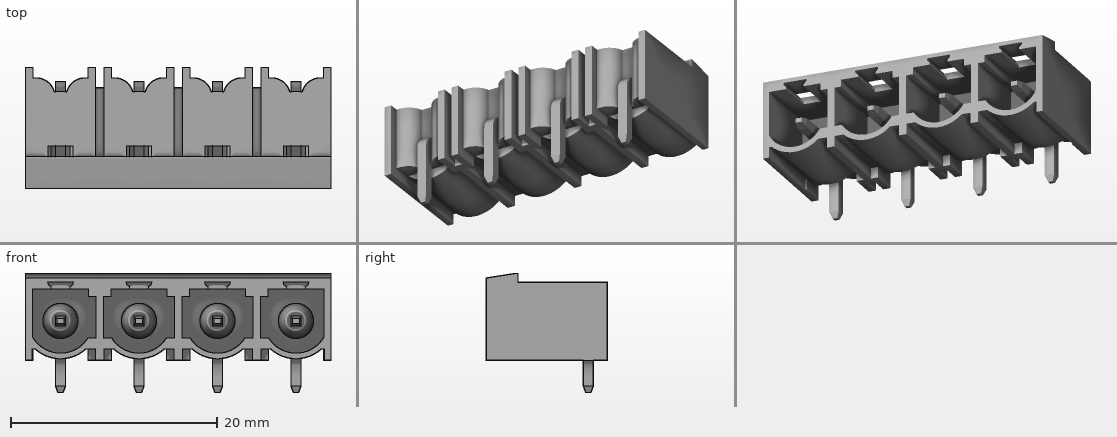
import cadquery as cq
import math


positions = 4
pitch = 7.62
housing_width = 29.66
housing_depth = 11.75
body_height = 7.6
axis_height = 3.82
half_width = housing_width / 2
centres = [(i - (positions - 1) / 2) * pitch for i in range(positions)]

ridge_length = 3.09
ridge_flat = 0.22
ridge_height = 8.45
ridge_front_height = 8.0

pocket_depth = 8.0
pocket_half_width = 2.73
pocket_top = 6.9
pocket_radius = 3.13
key_half_width = 3.44
key_top = 6.18
shelf_height = 2.145

dovetail_length = 4.14
dovetail_top_half = 1.225
dovetail_neck_half = 0.93
dovetail_shoulder = 7.4
dovetail_neck_height = 7.12

shell_length = 8.8
shell_radius = 3.68
underside_height = 1.09
end_leg_width = 0.65
middle_leg_width = 0.8

slot_width = 0.78
slot_floor = 6.9
slot_open_length = 1.95
rear_wall_thickness = 0.76
rear_recess = 1.0
scallop_radius = 1.85
notch_half_width = 0.6

boss_base_radius = 1.71
boss_radius = 1.07
boss_tip_radius = 0.87
boss_cone_length = 2.0
boss_edge_radius = boss_radius - boss_tip_radius

pin_width = 1.0
pin_tip_y = 0.88
pin_side_taper = 0.8
pin_top_taper = 1.2
pin_tip_width = 0.65
pin_tip_height = 0.45
pin_tail_y = 9.91
pin_bottom = -3.15
tail_tip_length = 0.65
tail_tip_width = 0.5
pin_bend_radius = 1.5

notch_y = pin_tail_y - pin_width / 2
rear_edge_y = housing_depth - rear_recess


def box(x0, x1, y0, y1, z0, z1):
    return cq.Workplane("XY").box(x1 - x0, y1 - y0, z1 - z0, centered=False).translate((x0, y0, z0))


def front_sketch():
    """Mating face plane; its normal points to -Y, so negative lengths extrude into the housing."""
    return cq.Workplane("XZ")


def body_block():
    """Side outline with the sloped locking ridge, as wide as the housing."""
    outline = [
        (0, 0),
        (housing_depth, 0),
        (housing_depth, body_height),
        (ridge_length, body_height),
        (ridge_length, ridge_height),
        (ridge_length - ridge_flat, ridge_height),
        (0, ridge_front_height),
    ]
    return cq.Workplane("YZ", origin=(-half_width, 0, 0)).polyline(outline).close().extrude(housing_width)


def underside_cut(x, left_end, right_end):
    """Space below one position, leaving the round pocket shell, the legs and the rear side walls."""
    left = -half_width + end_leg_width if left_end else x - (pitch - middle_leg_width) / 2
    right = half_width - end_leg_width if right_end else x + (pitch - middle_leg_width) / 2
    shell = front_sketch().center(x, axis_height).circle(shell_radius).extrude(-shell_length)
    front = box(left, right, 0, shell_length, 0, underside_height).cut(shell)
    rear_half = (pitch - slot_width) / 2 - rear_wall_thickness
    rear = box(x - rear_half, x + rear_half, shell_length, housing_depth, 0, underside_height)
    return front.union(rear)


def pocket_side(keyed):
    """Upper side points, from the top down to the start of the round floor, of one pocket half."""
    if keyed:
        floor_x = math.sqrt(pocket_radius**2 - (axis_height - shelf_height) ** 2)
        return [
            (pocket_half_width, pocket_top),
            (pocket_half_width, key_top),
            (key_half_width, key_top),
            (key_half_width, shelf_height),
            (floor_x, shelf_height),
        ]
    floor_z = axis_height - math.sqrt(pocket_radius**2 - pocket_half_width**2)
    return [(pocket_half_width, pocket_top), (pocket_half_width, floor_z)]


def pocket(x, left_keyed, right_keyed):
    """Pocket with a round floor and a widened, keyed side wherever another position adjoins."""
    right = pocket_side(right_keyed)
    left = [(-px, pz) for px, pz in reversed(pocket_side(left_keyed))]
    profile = front_sketch().center(x, 0).polyline(right)
    profile = profile.threePointArc((0, axis_height - pocket_radius), left[0])
    for point in left[1:]:
        profile = profile.lineTo(*point)
    return profile.close().extrude(-pocket_depth)


def dovetail(x):
    right = [
        (dovetail_neck_half, pocket_top),
        (dovetail_neck_half, dovetail_neck_height),
        (dovetail_top_half, dovetail_shoulder),
        (dovetail_top_half, body_height),
    ]
    left = [(-px, pz) for px, pz in reversed(right)]
    return front_sketch().center(x, 0).polyline(right + left).close().extrude(-dovetail_length)


def boss(x):
    """Cone with a rounded tip edge around the pin, standing on the pocket back wall."""
    tip = boss_cone_length + boss_edge_radius
    edge_mid = boss_edge_radius * math.sqrt(0.5)
    half_section = (
        cq.Workplane("XY")
        .lineTo(boss_base_radius, 0)
        .lineTo(boss_radius, boss_cone_length)
        .threePointArc((boss_tip_radius + edge_mid, boss_cone_length + edge_mid), (boss_tip_radius, tip))
        .lineTo(0, tip)
        .close()
    )
    turned = half_section.revolve(360, (0, 0, 0), (0, 1, 0))
    return turned.mirror("XZ").translate((x, pocket_depth, axis_height))


def rear_recess_cut(x):
    """Recess between the rear side walls, bounded by two scallops that end at the pin notch."""
    wall_x = (pitch - slot_width) / 2 - rear_wall_thickness
    sweep = math.acos(1 - (rear_edge_y - notch_y) / scallop_radius)
    arc_start_x = notch_half_width + scallop_radius * math.sin(sweep)
    mid_x = arc_start_x - scallop_radius * math.sin(sweep / 2)
    mid_y = rear_edge_y - scallop_radius * (1 - math.cos(sweep / 2))
    profile = (
        cq.Workplane("XY")
        .center(x, 0)
        .moveTo(-wall_x, housing_depth)
        .lineTo(-wall_x, rear_edge_y)
        .lineTo(-arc_start_x, rear_edge_y)
        .threePointArc((-mid_x, mid_y), (-notch_half_width, notch_y))
        .lineTo(notch_half_width, notch_y)
        .threePointArc((mid_x, mid_y), (arc_start_x, rear_edge_y))
        .lineTo(wall_x, rear_edge_y)
        .lineTo(wall_x, housing_depth)
        .close()
    )
    return profile.extrude(body_height)


def divider_slot(x):
    """Slot between two positions: shallow over the divider, open to the board side at the rear."""
    left = x - slot_width / 2
    right = x + slot_width / 2
    shallow = box(left, right, ridge_length, housing_depth, slot_floor, body_height)
    return shallow.union(box(left, right, housing_depth - slot_open_length, housing_depth, 0, body_height))


def contact_outline(tip_half, taper_length, contact_end):
    """Outline of the contact across one of its widths, narrowing to the tip at the front."""
    half = pin_width / 2
    taper_end = pin_tip_y + taper_length
    return [
        (-tip_half, pin_tip_y),
        (tip_half, pin_tip_y),
        (half, taper_end),
        (half, contact_end),
        (-half, contact_end),
        (-half, taper_end),
    ]


def make_pin(x):
    """Square right-angle pin, tapered at both ends, with a rounded outer bend."""
    half = pin_width / 2
    contact_end = pin_tail_y + half
    plan = cq.Workplane("XY", origin=(0, 0, axis_height - half))
    plan = plan.polyline(contact_outline(pin_tip_width / 2, pin_side_taper, contact_end)).close()
    side = cq.Workplane("ZY", origin=(-half, 0, axis_height))
    side = side.polyline(contact_outline(pin_tip_height / 2, pin_top_taper, contact_end)).close()
    contact = plan.extrude(pin_width).intersect(side.extrude(-pin_width))
    tail_end = pin_bottom + tail_tip_length
    tail = box(-half, half, pin_tail_y - half, contact_end, tail_end, axis_height)
    tail_tip = (
        cq.Workplane("XY", origin=(0, pin_tail_y, tail_end))
        .rect(pin_width, pin_width)
        .workplane(offset=-tail_tip_length)
        .rect(tail_tip_width, tail_tip_width)
        .loft()
    )
    elbow = contact.union(tail).edges("|X and >Y and >Z").fillet(pin_bend_radius)
    return elbow.union(tail_tip).translate((x, 0, 0))


def make_housing():
    housing = body_block()
    for i, x in enumerate(centres):
        left_end = i == 0
        right_end = i == positions - 1
        housing = housing.cut(underside_cut(x, left_end, right_end))
        housing = housing.cut(pocket(x, not left_end, not right_end))
        housing = housing.cut(dovetail(x))
        housing = housing.union(boss(x))
        housing = housing.cut(rear_recess_cut(x))
        if not right_end:
            housing = housing.cut(divider_slot(x + pitch / 2))
    return housing


pins = [make_pin(x) for x in centres]
housing = make_housing()
for pin in pins:
    housing = housing.cut(pin)

result = cq.Compound.makeCompound([housing.val(), *[pin.val() for pin in pins]])